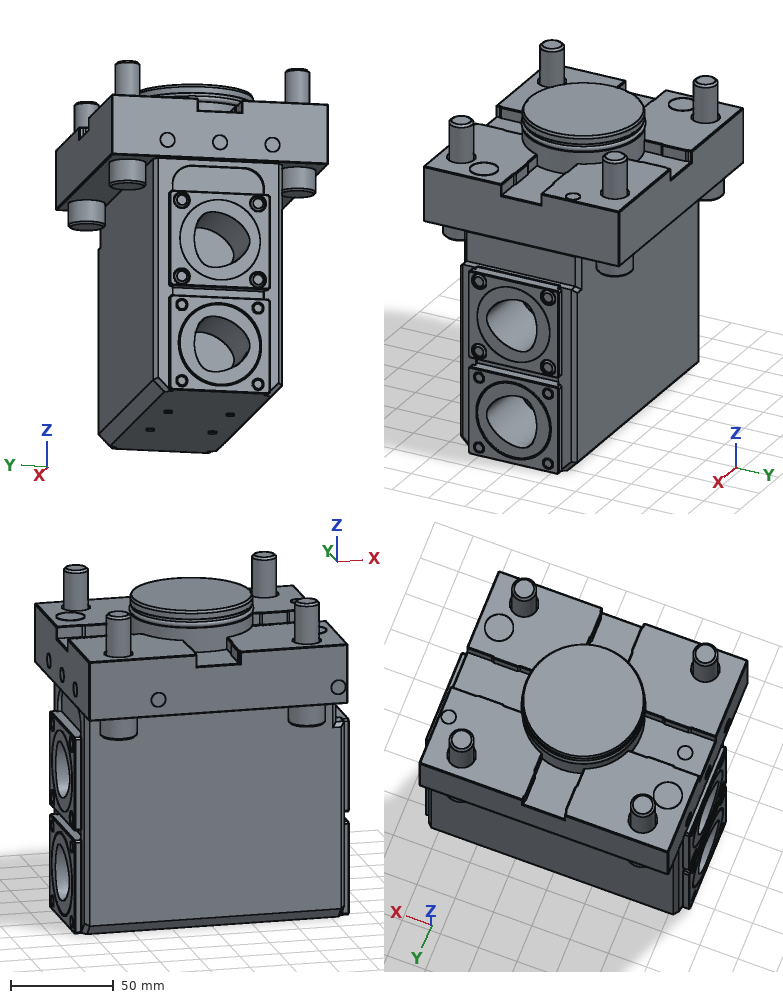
import cadquery as cq
import math

plate_x = 130.0
plate_y = 107.9
plate_bottom = 115.9
plate_thickness = 30.0
plate_top = plate_bottom + plate_thickness
plate_chamfer = 0.5

slot_half_width = 10.8
slot_depth = 6.0
slot_floor = plate_top - slot_depth
slot_inset = 0.5
inset_start = 37.1
inset_end = 52.0
inset_ramp = 1.2
slot_overrun = 8.3

boss_diameter = 59.8
boss_top = 160.8
boss_chamfer = 1.3
boss_chamfer_inset = 0.7
ring_diameter = 60.6
ring_inner_diameter = 55.1
ring_section = (ring_diameter - ring_inner_diameter) / 2
ring_z = 153.7
groove_diameter = 58.5
groove_bottom = 152.2
groove_top = 156.5

bolt_pitch_x = 94.5
bolt_pitch_y = 84.5
bolt_diameter = 12.0
bolt_projection = 20.0
bolt_end_chamfer = 1.2
bolt_hole_diameter = 14.0
bolt_head_diameter = 18.0
bolt_head_height = 11.7
bolt_head_chamfer = 1.0

disc_diameter = 14.0
disc_height = 0.3
disc_x = 54.1
disc_y = 26.1
plug_diameter = 7.2
plug_recess = 0.2
plug_z = 124.4
edge_plug_x = 60.3
front_plug_x = -30.1
slot_plug_x = -53.1

body_left = -61.3
body_right = 69.3
body_middle = (body_left + body_right) / 2
body_y = 64.3
step_z = 99.9
body_edge_chamfer = 2.2
body_bottom_chamfer = 5.7
foot_diameter = 4.0
foot_height = 0.7
foot_pitch_x = 41.3
foot_pitch_y = 31.0

recess_width = 45.6
recess_depth = 1.8
recess_top = 113.0
recess_radius = 10.0

flange_width = 50.0
flange_height = 47.3
flange_projection = plate_x / 2 + body_left
flange_corner_chamfer = 1.0
flange_edge_chamfer = 0.5
lower_flange_z = flange_height / 2
flange_pitch = 52.1
upper_flange_z = lower_flange_z + flange_pitch
flange_face = body_left - flange_projection
bushing_diameter = 40.0
upper_bushing_recess = 0.2
bushing_groove_diameter = 41.3
bushing_groove_depth = 0.7

screw_pitch = 38.0
screw_recess = 1.3
upper_screw_hole = 8.0
upper_screw_head = 7.2
upper_screw_flat = 5.0
lower_screw_hole = 5.7
lower_screw_head = 4.5

polygon_radius = 13.8
polygon_lobe = 1.0
polygon_points = 36
bore_depth = 33.3
bore_taper = 1 / 40
straight_lead = 6.2


def box(x0, x1, y0, y1, z0, z1):
    return cq.Workplane("XY").box(x1 - x0, y1 - y0, z1 - z0, centered=False).translate((x0, y0, z0))


def corners(pitch_u, pitch_v):
    return [(u * pitch_u / 2, v * pitch_v / 2) for u in (-1, 1) for v in (-1, 1)]


def cylinder_z(diameter, z0, z1, points):
    return cq.Workplane("XY").workplane(offset=z0).pushPoints(points).circle(diameter / 2).extrude(z1 - z0)


def cylinder_x(diameter, x0, x1, points):
    """Cylinders along +X at (Y, Z) points."""
    return cq.Workplane("YZ").workplane(offset=x0).pushPoints(points).circle(diameter / 2).extrude(x1 - x0)


def slot_outline(length):
    """Plan of a slot along X whose walls step inward on both arms."""
    narrow = slot_half_width - slot_inset
    end = length / 2 + slot_overrun
    arm = [
        (inset_start, slot_half_width),
        (inset_start + inset_ramp, narrow),
        (inset_end - inset_ramp, narrow),
        (inset_end, slot_half_width),
        (end, slot_half_width),
    ]
    upper = [(-x, y) for x, y in reversed(arm)] + arm
    return upper + [(x, -y) for x, y in reversed(upper)]


def slot_cutter(length):
    outline = slot_outline(length)
    return cq.Workplane("XY").workplane(offset=slot_floor).polyline(outline).close().extrude(slot_depth)


def make_plate():
    plate = box(-plate_x / 2, plate_x / 2, -plate_y / 2, plate_y / 2, plate_bottom, plate_top)
    plate = plate.cut(slot_cutter(plate_x))
    plate = plate.cut(slot_cutter(plate_x).rotate((0, 0, 0), (0, 0, 1), 90))
    plate = plate.faces("<X or >X or <Y or >Y or >Z").edges().chamfer(plate_chamfer)
    bolt_points = corners(bolt_pitch_x, bolt_pitch_y)
    plate = plate.cut(cylinder_z(bolt_hole_diameter, plate_bottom, plate_top, bolt_points))
    discs = [(-disc_x, disc_y), (disc_x, -disc_y)]
    plate = plate.union(cylinder_z(disc_diameter, plate_top - disc_height, plate_top + disc_height, discs))

    plate = plate.cut(cylinder_z(plug_diameter, plate_top - plug_recess, plate_top, [(edge_plug_x, disc_y)]))
    plate = plate.cut(cylinder_z(plug_diameter, slot_floor - plug_recess, slot_floor, [(slot_plug_x, 0)]))
    front_plugs = (
        cq.Workplane("XZ").workplane(offset=plate_y / 2 - plug_recess)
        .pushPoints([(front_plug_x, plug_z), (edge_plug_x, plug_z)])
        .circle(plug_diameter / 2).extrude(plug_recess)
    )
    plate = plate.cut(front_plugs)
    side_plugs = [(y, plug_z) for y in (-disc_y, 0, disc_y)]
    return plate.cut(cylinder_x(plug_diameter, -plate_x / 2, -plate_x / 2 + plug_recess, side_plugs))


def make_boss():
    """Revolved boss; the O-ring is a rounded bead standing out of its groove."""
    radius = boss_diameter / 2
    groove_radius = groove_diameter / 2
    bead_radius = ring_section / 2
    bead_centre = ring_diameter / 2 - bead_radius
    bead_half_height = math.sqrt(bead_radius ** 2 - (groove_radius - bead_centre) ** 2)
    return (
        cq.Workplane("XZ")
        .moveTo(0, plate_bottom)
        .lineTo(radius, plate_bottom)
        .lineTo(radius, groove_bottom)
        .lineTo(groove_radius, groove_bottom)
        .lineTo(groove_radius, ring_z - bead_half_height)
        .threePointArc((ring_diameter / 2, ring_z), (groove_radius, ring_z + bead_half_height))
        .lineTo(groove_radius, groove_top)
        .lineTo(radius, groove_top)
        .lineTo(radius, boss_top - boss_chamfer)
        .lineTo(radius - boss_chamfer_inset, boss_top)
        .lineTo(0, boss_top)
        .close()
        .revolve(360, (0, 0), (0, 1))
    )


def make_bolts():
    points = corners(bolt_pitch_x, bolt_pitch_y)
    shanks = cylinder_z(bolt_diameter, plate_bottom, plate_top + bolt_projection, points)
    shanks = shanks.faces(">Z").chamfer(bolt_end_chamfer)
    heads = cylinder_z(bolt_head_diameter, plate_bottom - bolt_head_height, plate_bottom, points)
    heads = heads.faces("<Z").chamfer(bolt_head_chamfer)
    return shanks.union(heads)


def make_body():
    profile = [
        (body_left, 0),
        (body_right, 0),
        (body_right, step_z),
        (plate_x / 2, step_z),
        (plate_x / 2, plate_bottom),
        (body_left, plate_bottom),
    ]
    body = cq.Workplane("XZ").polyline(profile).close().extrude(body_y / 2, both=True)
    body = body.faces("<Z").edges("|X").chamfer(body_bottom_chamfer)
    side_rims = body.faces("<Y or >Y").edges("not |X")
    slope_ends = body.faces("(not |Z) and (not |Y) and (not |X)").edges("not |X")
    ledge_edges = body.faces(">Z[-2]").edges("|X")
    body = body.newObject(side_rims.vals() + slope_ends.vals() + ledge_edges.vals())
    body = body.chamfer(body_edge_chamfer)
    feet = [(body_middle + x, y) for x, y in corners(foot_pitch_x, foot_pitch_y)]
    return body.union(cylinder_z(foot_diameter, -foot_height, foot_height, feet))


def make_recess():
    recess = box(body_left, body_left + recess_depth,
                 -recess_width / 2, recess_width / 2, lower_flange_z, recess_top)
    return recess.edges("|X and >Z").fillet(recess_radius)


def make_flange(z):
    """Flange plate with a tongue that fills the recess behind it."""
    half_height = flange_height / 2
    plate = box(flange_face, body_left, -flange_width / 2, flange_width / 2, z - half_height, z + half_height)
    plate = plate.edges("|X").chamfer(flange_corner_chamfer)
    plate = plate.faces("<X or >X").chamfer(flange_edge_chamfer)
    tongue = box(body_left - flange_edge_chamfer, body_left + recess_depth,
                 -recess_width / 2, recess_width / 2, z - half_height, z + half_height)
    return plate.union(tongue)


def polygon_wire(x, z, depth):
    """Three-lobed section at one depth, with one lobe towards -Y."""
    radius = polygon_radius - bore_taper * depth
    points = []
    for i in range(polygon_points):
        a = 2 * math.pi * i / polygon_points
        y = radius * math.cos(a) - 2 * polygon_lobe * math.cos(2 * a) + polygon_lobe * math.cos(4 * a)
        rise = radius * math.sin(a) + 2 * polygon_lobe * math.sin(2 * a) + polygon_lobe * math.sin(4 * a)
        points.append(cq.Vector(x, y, z + rise))
    return cq.Wire.assembleEdges([cq.Edge.makeSpline(points, periodic=True)])


def make_bore(z, lead):
    """Tapered bore from the flange face, after a parallel entry of the given length."""
    start = flange_face + lead
    mouth = polygon_wire(start, z, 0)
    floor = polygon_wire(flange_face + bore_depth, z, bore_depth - lead)
    bore = cq.Workplane(cq.Solid.makeLoft([mouth, floor]))
    if lead > 0:
        entry = cq.Solid.extrudeLinear(polygon_wire(flange_face, z, 0), [], cq.Vector(lead, 0, 0))
        bore = bore.union(cq.Workplane(entry))
    return bore


def screw_points(z):
    return [(y, z + dz) for y, dz in corners(screw_pitch, screw_pitch)]


def upper_flange_cuts():
    z = upper_flange_z
    points = screw_points(z)
    seat = flange_face + screw_recess
    heads = cylinder_x(upper_screw_head, flange_face, seat, points)
    heads = heads.faces("<X").chamfer((upper_screw_head - upper_screw_flat) / 2)
    cuts = cylinder_x(upper_screw_hole, flange_face, seat, points).cut(heads)
    cuts = cuts.union(cylinder_x(bushing_diameter, flange_face, flange_face + upper_bushing_recess, [(0, z)]))
    return cuts.union(make_bore(z, 0))


def lower_flange_cuts():
    z = lower_flange_z
    points = screw_points(z)
    seat = flange_face + screw_recess
    cuts = cylinder_x(lower_screw_hole, flange_face, seat, points)
    cuts = cuts.cut(cylinder_x(lower_screw_head, flange_face, seat, points))
    groove_end = flange_face + bushing_groove_depth
    groove = cylinder_x(bushing_groove_diameter, flange_face, groove_end, [(0, z)])
    groove = groove.cut(cylinder_x(bushing_diameter, flange_face, groove_end, [(0, z)]))
    return cuts.union(groove).union(make_bore(z, straight_lead))


def on_both_ends(shape):
    return [shape, shape.mirror("YZ", (body_middle, 0, 0))]


body = make_body()
for recess in on_both_ends(make_recess()):
    body = body.cut(recess)
for flange_z in (lower_flange_z, upper_flange_z):
    for flange in on_both_ends(make_flange(flange_z)):
        body = body.union(flange)
for flange_cuts in (upper_flange_cuts(), lower_flange_cuts()):
    for cut in on_both_ends(flange_cuts):
        body = body.cut(cut)

result = make_plate().union(make_boss()).union(make_bolts()).union(body)